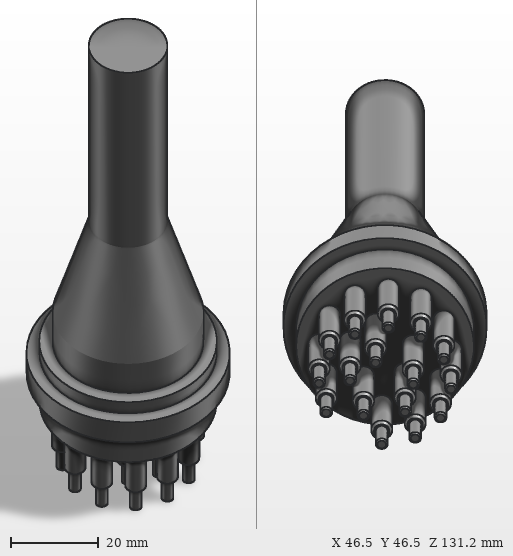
import cadquery as cq
import math

cable_diameter = 18.0
sleeve_diameter = 34.5
shell_diameter = 40.5
flange_diameter = 46.5

shoulder_height = 6.4
shell_bottom = 19.3
flange_bottom = 28.3
flange_top = 34.6
shell_top = 38.2
sleeve_top = 47.4
cone_top = 76.1
total_height = 131.2

stem_diameter = 4.9
stem_chamfer = 0.7
tip_diameter = 2.8
tip_chamfer = 0.4

outer_circle_radius = 15.1
outer_positions = 12
key_angle = 90.0

inner_pairs = [(7.5, 3.1), (5.1, -4.0)]
inner_key_pin = (0, 9.0)


def make_body():
    """Shell, flange, sleeve, strain-relief cone and cable, revolved about Z."""
    profile = [
        (0, shell_bottom),
        (shell_diameter / 2, shell_bottom),
        (shell_diameter / 2, flange_bottom),
        (flange_diameter / 2, flange_bottom),
        (flange_diameter / 2, flange_top),
        (shell_diameter / 2, flange_top),
        (shell_diameter / 2, shell_top),
        (sleeve_diameter / 2, shell_top),
        (sleeve_diameter / 2, sleeve_top),
        (cable_diameter / 2, cone_top),
        (cable_diameter / 2, total_height),
        (0, total_height),
    ]
    return cq.Workplane("XZ").polyline(profile).close().revolve(360, (0, 0), (0, 1))


def pin_centres():
    """Centres of the outer circle of pins followed by the inner pins."""
    centres = []
    angle_step = 360 / outer_positions
    for i in range(1, outer_positions):
        angle = math.radians(key_angle + i * angle_step)
        centres.append((outer_circle_radius * math.cos(angle), outer_circle_radius * math.sin(angle)))
    for x, y in inner_pairs:
        centres += [(x, y), (-x, y)]
    centres.append(inner_key_pin)
    return centres


def make_pins(centres):
    """Stepped pins with chamfered lower ends, reaching up to the shell."""
    stems = (
        cq.Workplane("XY", origin=(0, 0, shoulder_height))
        .pushPoints(centres)
        .circle(stem_diameter / 2)
        .extrude(shell_bottom - shoulder_height)
        .faces("<Z")
        .chamfer(stem_chamfer)
    )
    tips = (
        cq.Workplane("XY")
        .pushPoints(centres)
        .circle(tip_diameter / 2)
        .extrude(shoulder_height)
        .faces("<Z")
        .chamfer(tip_chamfer)
    )
    return stems.union(tips)


result = make_body().union(make_pins(pin_centres()))